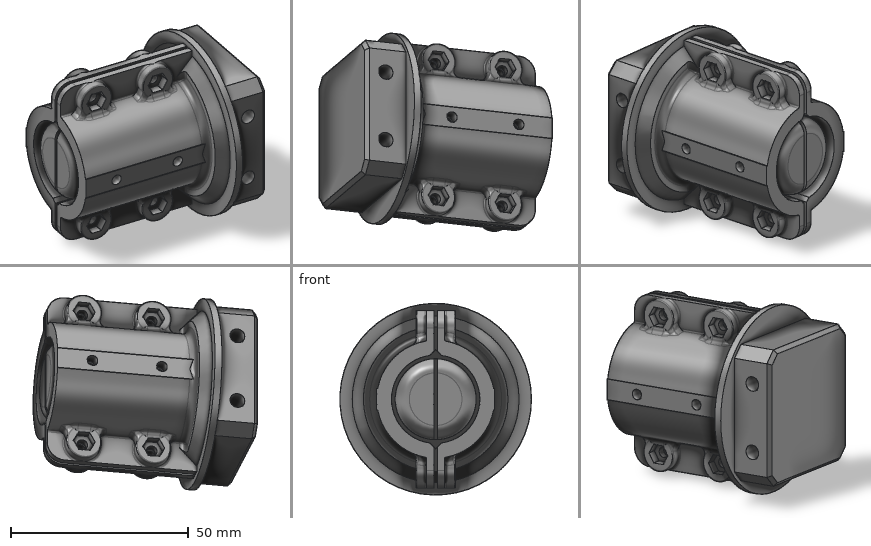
import cadquery as cq
import math

overall_length = 57
block_length = 11.95
flange_thickness = 2.0
cone_length = 3.0
flange_face_y = overall_length - block_length - flange_thickness
cone_face_y = flange_face_y - cone_length

flange_radius = 26.99
cone_base_radius = 23.5
cone_tip_radius = 20.35
tube_radius = 16.6
neck_fillet = 2.0
bore_radius = 12.4
core_radius = 11.4
core_nose_fillet = 4

block_width = 39.8
block_corner_chamfer = 3.3
block_back_chamfer = 1.1
block_hole_diameter = 4.2
block_hole_offset = 10.0
block_hole_y = overall_length - block_length / 2

slit_width = 1.0
groove_tip_z = 13.95
groove_base_z = 11.95
groove_half_width = groove_tip_z - groove_base_z

fin_thickness = 2.0
fin_height = 25.0
fin_corner_radius = 5.0
fin_fillet = 0.5
fin_face_x = slit_width / 2 + fin_thickness

boss_radius = 5.0
boss_height = 3.0
boss_face_x = fin_face_x + boss_height
boss_edge_fillet = 0.3
boss_root_fillet = 2.0
screw_z = fin_height - boss_radius
screw_spacing = 20.0
screw_rows = (screw_spacing / 2, screw_spacing * 3 / 2)
screw_hole_diameter = 3.0
nut_width = 5.4
nut_corner_diameter = nut_width / math.cos(math.radians(30))
nut_depth = 2.75

pad_width = 6.1
side_hole_diameter = 3.0

fin_trim = 5.7
tall_fin_height = fin_height + fin_trim

tolerance = 0.005

join_tolerance = 0.001


def y_disc(radius, front_y, back_y):
    """Disc around the Y axis between two Y positions."""
    return cq.Workplane("XZ", origin=(0, front_y, 0)).circle(radius).extrude(front_y - back_y)


def x_drill(diameter, y, z):
    """Cylinder along X that passes through the whole part."""
    length = 2 * flange_radius
    return cq.Workplane("YZ", origin=(-length / 2, y, z)).circle(diameter / 2).extrude(length)


def fin_block(length):
    """Both fins as one undivided plate."""
    return cq.Workplane("XY").box(2 * fin_face_x, length, 2 * tall_fin_height, centered=(True, False, True))


def edges_in_box(solid, low, high):
    """Edges that lie completely inside a box."""
    return solid.edges(cq.selectors.BoxSelector(low, high, boundingbox=True))


def cone():
    """Solid cone between the flange and the tube."""
    return (
        cq.Workplane("XY")
        .moveTo(0, cone_face_y)
        .lineTo(cone_tip_radius, cone_face_y)
        .lineTo(cone_base_radius, flange_face_y)
        .lineTo(0, flange_face_y)
        .close()
        .revolve(360, (0, 0), (0, 1))
    )


def tube_with_fins():
    """Tube, cone and tall fins with the neck and fin fillets."""
    body = y_disc(tube_radius, 0, flange_face_y).union(cone()).union(fin_block(flange_face_y))

    neck_reach_x = (tube_radius + cone_tip_radius) / 2
    neck_edges = edges_in_box(
        body,
        (-neck_reach_x, cone_face_y - tolerance, -cone_tip_radius),
        (neck_reach_x, cone_face_y + tolerance, cone_tip_radius),
    )
    body = neck_edges.fillet(neck_fillet)

    root_edges = edges_in_box(
        body,
        (-fin_face_x - tolerance, -tolerance, -tube_radius),
        (fin_face_x + tolerance, cone_face_y, tube_radius),
    ).edges("|Y")
    return root_edges.fillet(fin_fillet)


def boss_pair():
    """A boss on each side of the fins at Y = 0, blended into a short piece of tube."""
    seat_end = boss_radius + 2 * boss_root_fillet
    seat = y_disc(tube_radius, -seat_end, seat_end)
    seat = seat.union(fin_block(2 * seat_end).translate((0, -seat_end, 0)))
    pin = (
        cq.Workplane("YZ", origin=(-boss_face_x, 0, screw_z))
        .circle(boss_radius)
        .extrude(2 * boss_face_x)
        .faces("<X or >X")
        .edges()
        .fillet(boss_edge_fillet)
    )
    boss = seat.union(pin)
    root_edges = edges_in_box(
        boss,
        (-boss_face_x - tolerance, -boss_radius, 0),
        (boss_face_x + tolerance, boss_radius, tube_radius),
    )
    boss = root_edges.fillet(boss_root_fillet)

    flare_radius = boss_radius + fin_fillet
    flare_end_x = fin_face_x + fin_fillet
    arc_middle = fin_fillet * (1 - math.sqrt(0.5))
    flare = (
        cq.Workplane("XY")
        .lineTo(0, flare_radius)
        .lineTo(fin_face_x, flare_radius)
        .threePointArc((fin_face_x + arc_middle, boss_radius + arc_middle), (flare_end_x, boss_radius))
        .lineTo(flare_end_x, 0)
        .close()
        .revolve(360, (0, 0), (1, 0))
        .translate((0, 0, screw_z))
    )
    return boss.union(flare).union(flare.mirror("YZ"))


def clamp():
    """Tube, fins, bosses and side pads, trimmed to the outline of the fins."""
    body = tube_with_fins()
    upper_boss = boss_pair()
    lower_boss = upper_boss.mirror("XY")
    for y in screw_rows:
        for boss in (upper_boss, lower_boss):
            body = body.union(boss.translate((0, y, 0)), tol=join_tolerance)
    pads = cq.Workplane("XY").box(2 * tube_radius, cone_face_y, pad_width, centered=(True, False, True))
    outline = (
        cq.Workplane("XY")
        .box(2 * flange_radius, flange_face_y, 2 * fin_height, centered=(True, False, True))
        .edges("|X and <Y")
        .fillet(fin_corner_radius)
    )
    return body.union(pads).intersect(outline)


def square_block():
    """Block behind the flange with chamfered corners and back edges."""
    return (
        cq.Workplane("XZ", origin=(0, overall_length, 0))
        .rect(block_width, block_width)
        .extrude(block_length)
        .edges("|Y")
        .chamfer(block_corner_chamfer)
        .faces(">Y")
        .edges()
        .chamfer(block_back_chamfer)
    )


def nut_pocket(side, y, z):
    """Hexagonal recess in a boss face; side is -1 or 1 along X."""
    return (
        cq.Workplane("YZ", origin=(side * boss_face_x, y, z))
        .polygon(6, nut_corner_diameter)
        .extrude(-side * nut_depth)
    )


def v_groove():
    """V groove along the top of the bore."""
    return (
        cq.Workplane("XZ")
        .moveTo(-groove_half_width, groove_base_z)
        .lineTo(0, groove_tip_z)
        .lineTo(groove_half_width, groove_base_z)
        .close()
        .extrude(-flange_face_y)
    )


flange = y_disc(flange_radius, flange_face_y, flange_face_y + flange_thickness)
result = clamp().union(flange).union(square_block())

core = y_disc(core_radius, 0, flange_face_y).faces("<Y").edges().fillet(core_nose_fillet)
bore = y_disc(bore_radius, 0, flange_face_y).cut(core)
groove = v_groove()

slit = cq.Workplane("XY").box(slit_width, flange_face_y, 2 * flange_radius, centered=(True, False, True))
slit = slit.cut(cone())
result = result.cut(bore).cut(groove).cut(groove.mirror("XY")).cut(slit)

for y in screw_rows:
    result = result.cut(x_drill(side_hole_diameter, y, 0))
    for z in (-screw_z, screw_z):
        result = result.cut(x_drill(screw_hole_diameter, y, z))
        for side in (-1, 1):
            result = result.cut(nut_pocket(side, y, z))

for z in (-block_hole_offset, block_hole_offset):
    result = result.cut(x_drill(block_hole_diameter, block_hole_y, z))